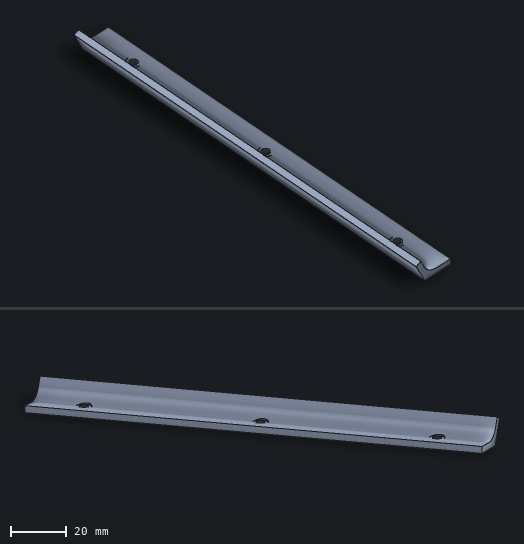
import cadquery as cq
import math

length = 176.0
depth = 17.2
height = 10.4

thickness = 2.6
lip_angle = 65.0
inner_bend_radius = 6.9

hole_diameter = 3.3
spotface_diameter = 5.8
hole_pitch = 68.0
hole_count = 3

lean = math.radians(lip_angle)
back_y = depth / 2
front_y = -depth / 2

tip_run = thickness * math.sin(lean)
tip_rise = thickness * math.cos(lean)
outer_tip_z = height - tip_rise
outer_corner_y = front_y + outer_tip_z / math.tan(lean)
inner_corner_y = outer_corner_y + thickness * math.tan(lean / 2)
bend_start_y = inner_corner_y + inner_bend_radius * math.tan(lean / 2)


def bend_point(angle):
    """Point on the inner bend, turned by angle from the flat."""
    return (
        bend_start_y - inner_bend_radius * math.sin(angle),
        thickness + inner_bend_radius * (1 - math.cos(angle)),
    )


def make_strip():
    """Extrude the bent section along X, centred on the origin."""
    return (
        cq.Workplane("YZ")
        .moveTo(back_y, 0)
        .lineTo(back_y, thickness)
        .lineTo(bend_start_y, thickness)
        .threePointArc(bend_point(lean / 2), bend_point(lean))
        .lineTo(front_y + tip_run, height)
        .lineTo(front_y, outer_tip_z)
        .lineTo(outer_corner_y, 0)
        .close()
        .extrude(length / 2, both=True)
    )


def vertical_cutters(diameter, bottom_z):
    """Cylinders at the screw positions, rising from bottom_z to the full height."""
    first_x = -hole_pitch * (hole_count - 1) / 2
    positions = [(first_x + i * hole_pitch, bend_start_y) for i in range(hole_count)]
    return (
        cq.Workplane("XY", origin=(0, 0, bottom_z))
        .pushPoints(positions)
        .circle(diameter / 2)
        .extrude(height - bottom_z)
    )


through_holes = vertical_cutters(hole_diameter, 0)
spotfaces = vertical_cutters(spotface_diameter, thickness)

result = make_strip().cut(spotfaces).cut(through_holes)